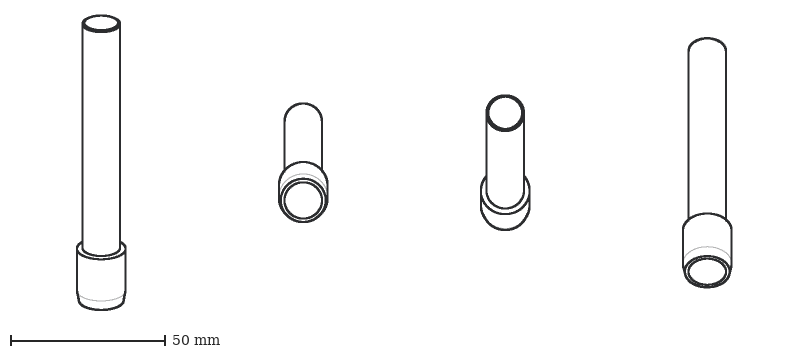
import cadquery as cq

total_length = 100.0
pin_radius = 6.1
pin_chamfer_width = 0.6
pin_chamfer_height = 0.4

sleeve_radius = 7.95
sleeve_height = 18.9
sleeve_top_slope_height = 0.3
lead_in_height = 3.6
lead_in_radius = 7.3


def revolve_about_z(profile_points):
    """Turn a closed (radius, height) profile into a solid about the Z axis."""
    return cq.Workplane("XZ").polyline(profile_points).close().revolve(360, (0, 0, 0), (0, 1, 0))


def make_pin():
    """Full-length round pin with a chamfered top end."""
    return revolve_about_z([
        (0, 0),
        (pin_radius, 0),
        (pin_radius, total_length - pin_chamfer_height),
        (pin_radius - pin_chamfer_width, total_length),
        (0, total_length),
    ])


def make_sleeve():
    """Sleeve fitted on the pin, with a tapered lower end and a gently sloping top."""
    return revolve_about_z([
        (pin_radius, 0),
        (lead_in_radius, 0),
        (sleeve_radius, lead_in_height),
        (sleeve_radius, sleeve_height - sleeve_top_slope_height),
        (pin_radius, sleeve_height),
    ])


pin = make_pin()
sleeve = make_sleeve()

result = cq.Compound.makeCompound([pin.val(), sleeve.val()])